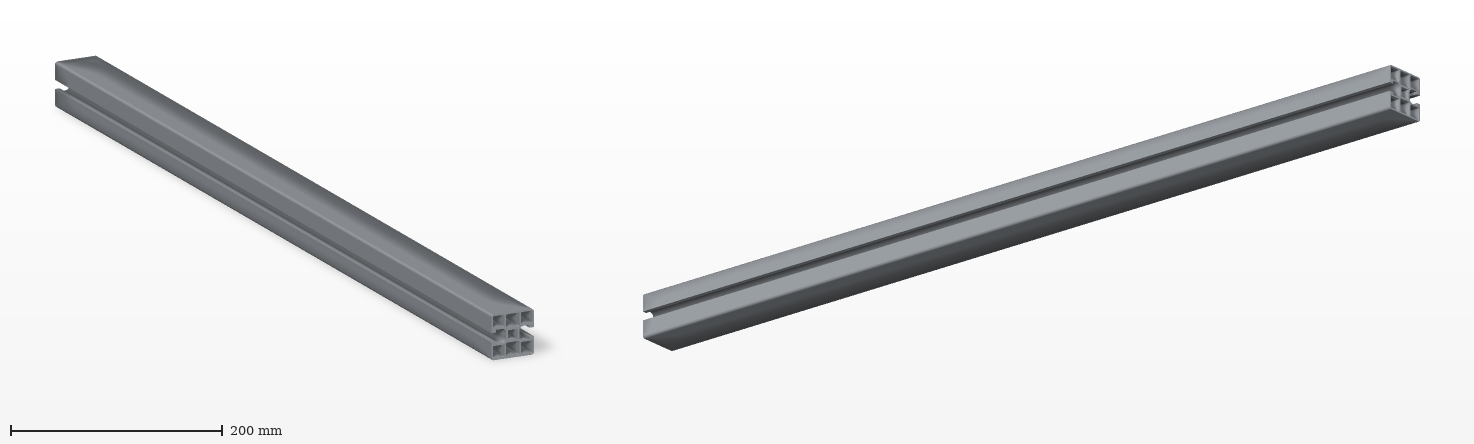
import cadquery as cq

LENGTH = 914.4
SIZE = 45.0
CORNER_RADIUS = 2.5
WALL = 1.5
RIB = 1.5

SLOT_OPENING = 9.0
LIP_DEPTH = 5.0
SLOT_WIDTH = 14.5
SLOT_FLOOR_RADIUS = 4.5

CORE_SIZE = 14.0
CORE_HOLE = 10.0
CORNER_CHAMBER_RADIUS = 1.0
CLOSED_CHAMBER_RADIUS = 1.5

side = SIZE / 2
wall_inside = side - WALL
lip_inside = side - LIP_DEPTH
core_side = CORE_SIZE / 2
rib_outside = core_side + RIB


def extrude_box(y_min, y_max, z_min, z_max):
    """Rectangular prism along the full bar length."""
    return (
        cq.Workplane("YZ")
        .center((y_min + y_max) / 2, (z_min + z_max) / 2)
        .rect(y_max - y_min, z_max - z_min)
        .extrude(LENGTH)
    )


def make_bar():
    """Solid square bar with rounded long edges."""
    bar = extrude_box(-side, side, -side, side)
    return bar.edges("|X").fillet(CORNER_RADIUS)


def make_slot():
    """T-slot open to +Y, with a wide cavity whose floor corners are rounded."""
    cavity = extrude_box(core_side, lip_inside, -SLOT_WIDTH / 2, SLOT_WIDTH / 2)
    cavity = cavity.edges("|X and <Y").fillet(SLOT_FLOOR_RADIUS)
    opening = extrude_box(lip_inside, side, -SLOT_OPENING / 2, SLOT_OPENING / 2)
    return cavity.union(opening)


def make_closed_chamber():
    """Chamber between the core and the closed +Z wall, rounded at its corners."""
    chamber = extrude_box(-core_side, core_side, core_side, wall_inside)
    return chamber.edges("|X").fillet(CLOSED_CHAMBER_RADIUS)


def make_corner_chamber():
    """Square chamber in the +Y +Z corner, rounded at its corners."""
    chamber = extrude_box(rib_outside, wall_inside, rib_outside, wall_inside)
    return chamber.edges("|X").fillet(CORNER_CHAMBER_RADIUS)


def make_core_hole():
    """Square hole along the bar axis."""
    return extrude_box(-CORE_HOLE / 2, CORE_HOLE / 2, -CORE_HOLE / 2, CORE_HOLE / 2)


def make_profile():
    """Bar with the core hole, two open slots and six closed chambers removed."""
    slot = make_slot()
    closed_chamber = make_closed_chamber()
    corner_chamber = make_corner_chamber()
    upper_corner_chambers = [corner_chamber, corner_chamber.mirror("XZ")]

    cutters = [make_core_hole()]
    cutters += [slot, slot.mirror("XZ")]
    cutters += [closed_chamber, closed_chamber.mirror("XY")]
    cutters += upper_corner_chambers
    cutters += [chamber.mirror("XY") for chamber in upper_corner_chambers]

    profile = make_bar()
    for cutter in cutters:
        profile = profile.cut(cutter)
    return profile


result = make_profile()